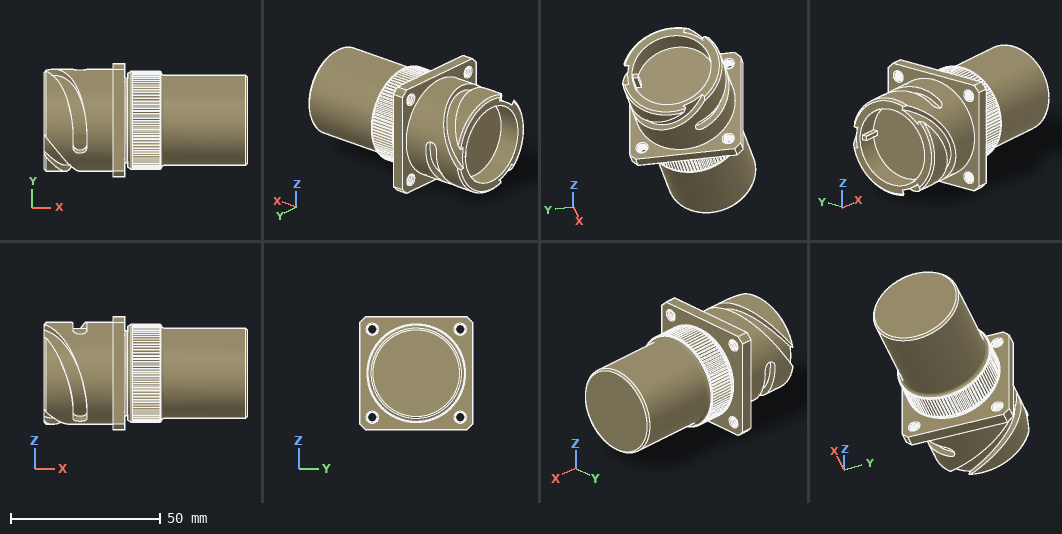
import cadquery as cq
import math

length = 68.2
barrel_radius = 17.1
barrel_chamfer_length = 0.75
barrel_face_radius = 16.4

socket_radius = 13.5
socket_depth = 7.4
key_start = 1.3
key_width = 1.6
key_height = 1.7

flange_start = 23.05
flange_thickness = 4.1
flange_end = flange_start + flange_thickness
flange_side = 38.0
flange_corner_chamfer = 2.05
hole_offset = 14.7
thread_minor_radius = 1.6
thread_major_radius = 2.05
thread_pitch = 0.7

neck_radius = 14.25
neck_step = 27.9
neck_groove_radius = 13.85

nut_start = 28.0
nut_radius = 16.5
nut_face_radius = 15.7
nut_chamfer_end = 29.2
nut_end = 39.3
nut_rear_chamfer = 0.35
knurl_start = 29.75
knurl_end = 38.9
knurl_depth = 0.55
knurl_count = 90

sleeve_radius = 15.15
sleeve_chamfer_length = 0.75
sleeve_end_radius = 14.5

slot_count = 3
slot_width = 4.65
slot_floor_radius = 15.0
slot_end_x = 12.1
slot_end_angle = -62.4
slot_straight_angle = 13.4
slot_curve_angle = 125.0
slot_curve_facets = 25
slot_mouth_turn = 109.8

overshoot = 0.7


def revolve_body():
    """Barrel, neck, nut and sleeve as one turned profile, with a concave fillet behind the nut."""
    fillet = nut_radius - nut_rear_chamfer - sleeve_radius
    fillet_end = nut_end + fillet
    fillet_dip = fillet * (1 - math.sqrt(0.5))
    profile = (
        cq.Workplane("XY")
        .moveTo(0, 0)
        .lineTo(0, -barrel_face_radius)
        .lineTo(barrel_chamfer_length, -barrel_radius)
        .lineTo(flange_end, -barrel_radius)
        .lineTo(flange_end, -neck_radius)
        .lineTo(neck_step, -neck_radius)
        .lineTo(neck_step, -neck_groove_radius)
        .lineTo(nut_start, -neck_groove_radius)
        .lineTo(nut_start, -nut_face_radius)
        .lineTo(nut_chamfer_end, -nut_radius)
        .lineTo(nut_end - nut_rear_chamfer, -nut_radius)
        .lineTo(nut_end, -nut_radius + nut_rear_chamfer)
        .threePointArc(
            (nut_end + fillet_dip, -sleeve_radius - fillet_dip),
            (fillet_end, -sleeve_radius),
        )
        .lineTo(length - sleeve_chamfer_length, -sleeve_radius)
        .lineTo(length, -sleeve_end_radius)
        .lineTo(length, 0)
        .close()
    )
    return profile.revolve(360, (0, 0, 0), (1, 0, 0))


def flange():
    """Square plate with chamfered corners."""
    return (
        cq.Workplane("YZ", origin=(flange_start, 0, 0))
        .rect(flange_side, flange_side)
        .extrude(flange_thickness)
        .edges("|X")
        .chamfer(flange_corner_chamfer)
    )


def threaded_hole():
    """Hole along X from the origin, with a V groove for each turn of the thread."""
    turns = round(flange_thickness / thread_pitch)
    outline = cq.Workplane("XY").moveTo(0, 0).lineTo(0, thread_major_radius)
    for turn in range(turns):
        crest_x = (turn + 0.5) * thread_pitch
        outline = outline.lineTo(crest_x, thread_minor_radius)
        outline = outline.lineTo(crest_x + thread_pitch / 2, thread_major_radius)
    return outline.lineTo(turns * thread_pitch, 0).close().revolve(360, (0, 0, 0), (1, 0, 0))


def socket():
    """Bore with a key left standing on its +Y wall; the key runs on into the wall."""
    bore = cq.Workplane("YZ").circle(socket_radius).extrude(socket_depth)
    key = cq.Workplane("XY").box(
        socket_depth - key_start, 2 * key_height, key_width, centered=(False, True, True)
    )
    return bore.cut(key.translate((key_start, socket_radius, 0)))


def knurl_groove():
    """V groove along the top of the nut."""
    half_width = math.pi * nut_radius / knurl_count
    return (
        cq.Workplane("YZ", origin=(knurl_start, 0, 0))
        .moveTo(0, nut_radius - knurl_depth)
        .lineTo(half_width, nut_radius)
        .lineTo(half_width, nut_radius + overshoot)
        .lineTo(-half_width, nut_radius + overshoot)
        .lineTo(-half_width, nut_radius)
        .close()
        .extrude(knurl_end - knurl_start)
    )


def slot_section(x, angle, slope):
    """Flat rectangle square to the slot, where slope is the change of x per unit of arc.

    The angle turns about X from the -Y side towards +Z.
    """
    turn = math.radians(angle)
    outward = cq.Vector(0, -math.cos(turn), math.sin(turn))
    tangent = cq.Vector(0, math.sin(turn), math.cos(turn))
    across = cq.Vector(1, 0, 0) - tangent * slope
    half_width = across.normalized() * (slot_width / 2)
    floor = cq.Vector(x, 0, 0) + outward * slot_floor_radius
    top = cq.Vector(x, 0, 0) + outward * (barrel_radius + overshoot)
    corners = [floor - half_width, floor + half_width, top + half_width, top - half_width]
    return cq.Wire.makePolygon(corners, close=True)


def bayonet_slot():
    """Cutters for one slot: a faceted channel and its round closed end.

    The channel runs straight around the barrel, then curves out through the front face as a parabola.
    """
    sections = [slot_section(slot_end_x, slot_end_angle, 0)]
    arc_per_degree = math.radians(1) * barrel_radius
    curve_start = slot_end_angle + slot_straight_angle
    for facet in range(slot_curve_facets + 1):
        turned = slot_curve_angle * facet / slot_curve_facets
        x = slot_end_x * (1 - (turned / slot_mouth_turn) ** 2)
        slope = -2 * slot_end_x * turned / slot_mouth_turn**2 / arc_per_degree
        sections.append(slot_section(x, curve_start + turned, slope))
    channel = cq.Workplane(cq.Solid.makeLoft(sections, True))
    round_end = (
        cq.Workplane("XY", origin=(slot_end_x, 0, slot_floor_radius))
        .circle(slot_width / 2)
        .extrude(barrel_radius + overshoot - slot_floor_radius)
        .rotate((0, 0, 0), (1, 0, 0), 90 - slot_end_angle)
    )
    return [channel, round_end]


body = revolve_body().union(flange()).cut(socket())

hole = threaded_hole()
for y_side in (-1, 1):
    for z_side in (-1, 1):
        body = body.cut(hole.translate((flange_start, y_side * hole_offset, z_side * hole_offset)))

slot_cutters = bayonet_slot()
for slot_number in range(slot_count):
    for cutter in slot_cutters:
        body = body.cut(cutter.rotate((0, 0, 0), (1, 0, 0), slot_number * 360 / slot_count))

groove = knurl_groove()
grooves = [
    groove.rotate((0, 0, 0), (1, 0, 0), tooth * 360 / knurl_count).val() for tooth in range(knurl_count)
]
result = body.cut(cq.Workplane(cq.Compound.makeCompound(grooves)))